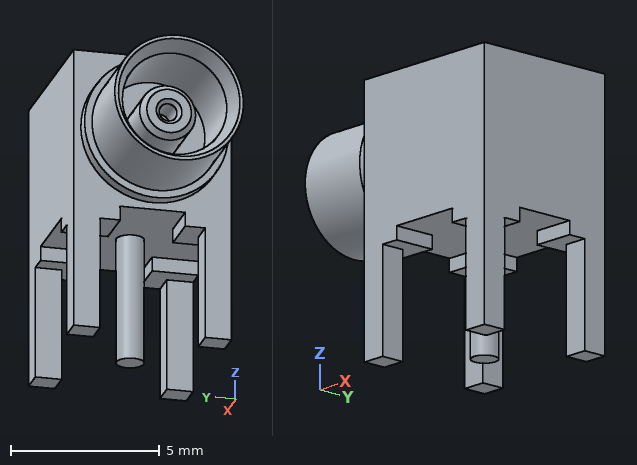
import cadquery as cq

block_length = 6.0
block_width = 5.5
total_height = 9.93

leg_side = 0.92
leg_height = 3.94
shoulder_step = 0.7
shoulder_height = 0.5

flange_radius = 2.5
flange_thickness = 0.5
barrel_radius = 2.24
barrel_length = 3.01
bore_radius = 1.82
mouth_radius = 2.12
mouth_depth = 0.62

arm_radius = 0.97
arm_tip_radius = 0.77
arm_chamfer_length = 0.2
arm_recess = 1.33
tail_radius = 0.48
contact_hole_radius = 0.31
contact_lead_in_radius = 0.45
contact_lead_in_depth = 0.14
contact_hole_depth = 1.19

axis_height = total_height - block_width / 2
block_front = -block_length / 2
flange_front = block_front - flange_thickness
barrel_front = flange_front - barrel_length
arm_front = barrel_front + arm_recess
block_underside = leg_height + shoulder_height


def revolve_about_socket_axis(profile):
    """Revolve a closed (x, radius) profile about the horizontal socket axis."""
    return (
        cq.Workplane("XZ", origin=(0, 0, axis_height))
        .polyline(profile)
        .close()
        .revolve(360, (0, 0, 0), (1, 0, 0))
    )


def make_channels(corner_side, height):
    """Crossed channels along X and Y that leave a square post at each block corner."""
    along_x = cq.Workplane("XY").box(
        block_length, block_width - 2 * corner_side, height, centered=(True, True, False)
    )
    along_y = cq.Workplane("XY").box(
        block_length - 2 * corner_side, block_width, height, centered=(True, True, False)
    )
    return along_x.union(along_y)


def make_socket():
    """Flange and barrel, solid before boring."""
    return revolve_about_socket_axis([
        (block_front, 0),
        (block_front, flange_radius),
        (flange_front, flange_radius),
        (flange_front, barrel_radius),
        (barrel_front, barrel_radius),
        (barrel_front, 0),
    ])


def make_socket_bore():
    """Bore with a tapered mouth, ending level with the block face."""
    return revolve_about_socket_axis([
        (barrel_front, 0),
        (barrel_front, mouth_radius),
        (barrel_front + mouth_depth, bore_radius),
        (block_front, bore_radius),
        (block_front, 0),
    ])


def make_contact():
    """One-piece angled contact: a chamfered, hollow arm joined to a round tail."""
    arm_back = tail_radius
    lead_in_end = arm_front + contact_lead_in_depth
    hole_end = arm_front + contact_hole_depth
    arm = revolve_about_socket_axis([
        (arm_front, contact_lead_in_radius),
        (arm_front, arm_tip_radius),
        (arm_front + arm_chamfer_length, arm_radius),
        (arm_back, arm_radius),
        (arm_back, 0),
        (hole_end, 0),
        (hole_end, contact_hole_radius),
        (lead_in_end, contact_hole_radius),
    ])
    tail = cq.Workplane("XY").circle(tail_radius).extrude(axis_height)
    return arm.union(tail)


def make_housing(contact):
    """Block on four legs with its socket, and a cavity that fits the contact."""
    block = cq.Workplane("XY").box(
        block_length, block_width, total_height, centered=(True, True, False)
    )
    return (
        block.cut(make_channels(leg_side, leg_height))
        .cut(make_channels(leg_side + shoulder_step, block_underside))
        .union(make_socket())
        .cut(make_socket_bore())
        .cut(contact)
    )


contact = make_contact()
housing = make_housing(contact)

result = cq.Compound.makeCompound([*housing.solids().vals(), *contact.solids().vals()])